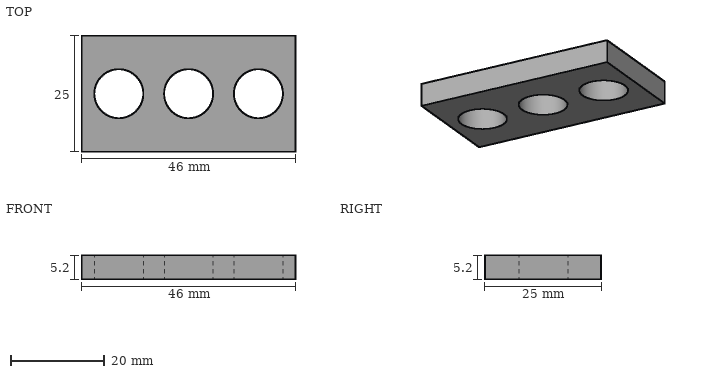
import cadquery as cq

length = 46.0
width = 25.0
thickness = 5.2

hole_diameter = 10.5
hole_pitch = 15.0
hole_count = 3

plate = cq.Workplane("XY").box(length, width, thickness)

result = (
    plate.faces(">Z")
    .workplane()
    .rarray(hole_pitch, width, hole_count, 1)
    .hole(hole_diameter)
)